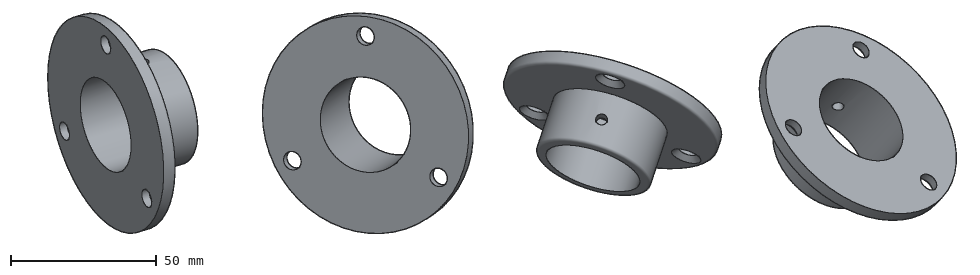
import cadquery as cq
import math

flange_diameter = 77.0
flange_thickness = 5.0
hub_diameter = 41.0
bore_diameter = 33.7
overall_length = 25.0
rim_fillet = 1.0

bolt_hole_diameter = 6.5
bolt_circle_diameter = 63.0
bolt_hole_count = 3
first_bolt_hole_angle = 90.0
countersink_depth = 2.0
countersink_angle = 90.0

set_screw_diameter = 4.0

countersink_half_angle = countersink_angle / 2
countersink_growth = countersink_depth * math.tan(math.radians(countersink_half_angle))
countersink_diameter = bolt_hole_diameter + 2 * countersink_growth
hub_length = overall_length - flange_thickness
set_screw_y = flange_thickness + hub_length / 2


def plane_across_axis(y):
    """Workplane facing +Y; the part axis is Y and the flange mounting face lies at y = 0."""
    return cq.Workplane(cq.Plane(origin=(0, y, 0), xDir=(-1, 0, 0), normal=(0, 1, 0)))


def make_cylinder(diameter, length):
    """Cylinder on the part axis, from the mounting face toward +Y."""
    return plane_across_axis(0).circle(diameter / 2).extrude(length)


def make_rounded_cylinder(diameter, length):
    """Cylinder on the part axis with its +Y rim rounded."""
    return make_cylinder(diameter, length).faces(">Y").edges().fillet(rim_fillet)


def make_bolt_holes():
    """Cutters for the flange bolt holes, countersunk from the hub side."""
    hole_centers = plane_across_axis(flange_thickness).polarArray(
        bolt_circle_diameter / 2, first_bolt_hole_angle, 360, bolt_hole_count
    )
    shanks = hole_centers.circle(bolt_hole_diameter / 2).extrude(-flange_thickness)
    countersinks = hole_centers.circle(countersink_diameter / 2).extrude(
        -countersink_depth, taper=countersink_half_angle
    )
    return shanks.union(countersinks)


def make_set_screw_hole():
    """Cutter for the radial hole through the +Z wall of the hub."""
    return (
        cq.Workplane("XY", origin=(0, set_screw_y, 0))
        .circle(set_screw_diameter / 2)
        .extrude(hub_diameter / 2)
    )


flange = make_rounded_cylinder(flange_diameter, flange_thickness)
hub = make_rounded_cylinder(hub_diameter, overall_length)
bore = make_cylinder(bore_diameter, overall_length)

result = flange.union(hub).cut(bore).cut(make_bolt_holes()).cut(make_set_screw_hole())